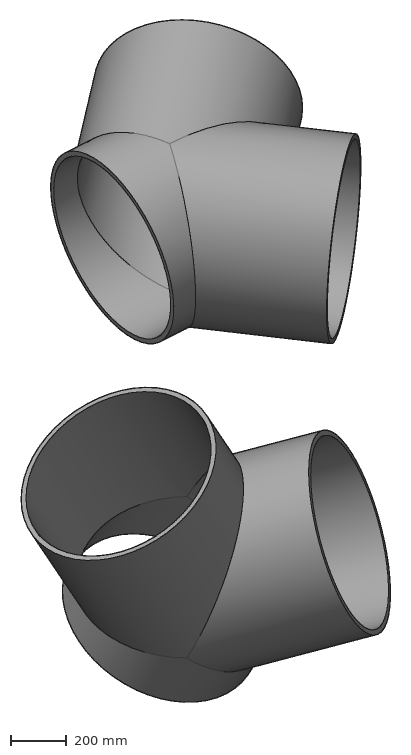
import cadquery as cq
import math

outer_diameter = 762.0
bore_diameter = 723.0
overall_width = 1437.0
inlet_length = 255.0
branch_angle = 45.0

angle = math.radians(branch_angle)
mouth_overhang = outer_diameter / 2 * math.cos(angle)
branch_length = (overall_width / 2 - mouth_overhang) / math.sin(angle)

inlet_direction = cq.Vector(0, -1, 0)
branch_directions = [cq.Vector(side * math.sin(angle), math.cos(angle), 0) for side in (-1, 1)]


def three_way_cylinders(diameter, stem_length):
    """Union of three cylinders that run outward from the origin; the stem lies along the inlet."""
    origin = cq.Vector(0, 0, 0)
    radius = diameter / 2
    body = cq.Workplane(obj=cq.Solid.makeCylinder(radius, stem_length, origin, inlet_direction))
    for direction in branch_directions:
        body = body.union(cq.Workplane(obj=cq.Solid.makeCylinder(radius, branch_length, origin, direction)))
    return body


inlet_bore_length = inlet_length + outer_diameter / 2
outer_body = three_way_cylinders(outer_diameter, inlet_length)
bores = three_way_cylinders(bore_diameter, inlet_bore_length)
result = outer_body.cut(bores)